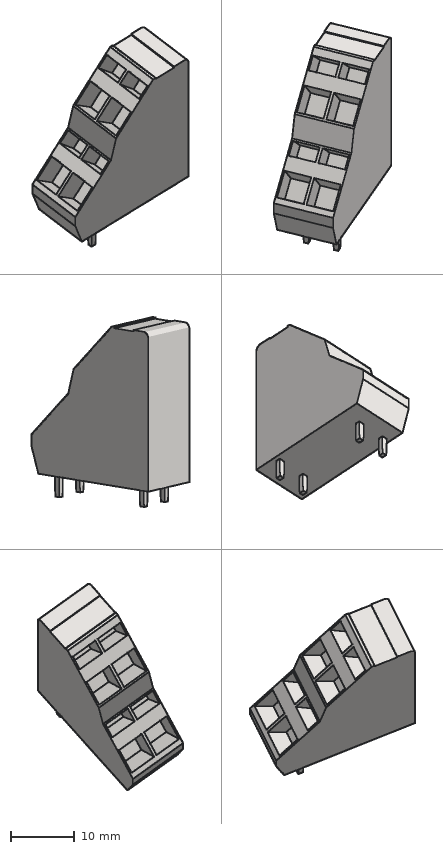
import cadquery as cq
import math

WIDTH = 10.15
DEPTH = 24.05
PIN_LENGTH = 3.45
HEIGHT = 29.1 - PIN_LENGTH
UNDERCUT_DEPTH = 1.4
UNDERCUT_HEIGHT = 4.22
BACK_RADIUS = 1.02

LOWER_SLOPE_Y = 0
LOWER_SLOPE_Z = 6.2
LOWER_SLOPE_RISE = 7.57
UPPER_SLOPE_Y = 8.65
UPPER_SLOPE_Z = 17.78
UPPER_SLOPE_RISE = HEIGHT - UPPER_SLOPE_Z

CHANNEL_FRONT = 17.05
CHANNEL_BACK = 20.95
CHANNEL_DEPTH = 0.2

POCKETS_PER_ROW = 2
POCKET_WIDTH = 4.55
SIDE_WALL = 0.3
POCKET_PITCH = WIDTH - 2 * SIDE_WALL - POCKET_WIDTH
POCKET_DEPTH = 4.07
WIRE_RISE = 3.15
RELEASE_RISE = 1.75
WIRE_TO_RELEASE = 4.9
LOWER_WIRE_START = 0.7
UPPER_WIRE_START = 0.25
WIRE_END_INSET = 0.5

PIN_COUNT = 4
PIN_PITCH = 2.55
PIN_WIDTH = 0.95
PIN_THICKNESS = 0.85
PIN_TIP_WIDTH = 0.73
PIN_TIP_LENGTH = 1.0
FRONT_PIN_Y = 4.63
BACK_PIN_Y = 19.9


def make_block():
    """Terraced side profile extruded across the width, with the rounded top back edge."""
    outline = [
        (UNDERCUT_DEPTH, 0),
        (0, UNDERCUT_HEIGHT),
        (LOWER_SLOPE_Y, LOWER_SLOPE_Z),
        (LOWER_SLOPE_Y + LOWER_SLOPE_RISE, LOWER_SLOPE_Z + LOWER_SLOPE_RISE),
        (UPPER_SLOPE_Y, UPPER_SLOPE_Z),
        (UPPER_SLOPE_Y + UPPER_SLOPE_RISE, HEIGHT),
        (DEPTH, HEIGHT),
        (DEPTH, 0),
    ]
    block = cq.Workplane("YZ").polyline(outline).close().extrude(WIDTH)
    return block.edges("|X and >Y and >Z").fillet(BACK_RADIUS)


def make_channel():
    """Cutter for the channel across the top."""
    return cq.Workplane("XY").box(
        WIDTH, CHANNEL_BACK - CHANNEL_FRONT, CHANNEL_DEPTH, centered=False
    ).translate((0, CHANNEL_FRONT, HEIGHT - CHANNEL_DEPTH))


def make_pocket_row(slope_y, slope_z, start, rise, end_inset):
    """Cutters for a row of pockets, from `start` to `start + rise` above the slope's lower edge.

    The two end walls lean inward by `end_inset` over the depth.
    """
    plane = cq.Plane(origin=(0, slope_y, slope_z), xDir=(1, 0, 0), normal=(0, -1, 1))
    length = rise * math.sqrt(2)
    middle = (start + rise / 2) * math.sqrt(2)
    row = cq.Workplane(plane)
    for i in range(POCKETS_PER_ROW):
        center_x = SIDE_WALL + POCKET_WIDTH / 2 + i * POCKET_PITCH
        pocket = (
            cq.Workplane(plane)
            .center(center_x, middle)
            .rect(POCKET_WIDTH, length)
            .workplane(offset=-POCKET_DEPTH)
            .rect(POCKET_WIDTH, length - 2 * end_inset)
            .loft(ruled=True)
        )
        row = row.add(pocket)
    return row


def make_housing():
    """Terraced block with its channel and both terraces of pockets."""
    housing = make_block().cut(make_channel())
    terraces = [
        (LOWER_SLOPE_Y, LOWER_SLOPE_Z, LOWER_WIRE_START),
        (UPPER_SLOPE_Y, UPPER_SLOPE_Z, UPPER_WIRE_START),
    ]
    for slope_y, slope_z, wire_start in terraces:
        wire_row = make_pocket_row(slope_y, slope_z, wire_start, WIRE_RISE, WIRE_END_INSET)
        release_row = make_pocket_row(slope_y, slope_z, wire_start + WIRE_TO_RELEASE, RELEASE_RISE, 0)
        for cutter in wire_row.vals() + release_row.vals():
            housing = housing.cut(cq.Workplane(cutter))
    return housing


def make_pin(x, y):
    """Flat pin below the underside, with its tip narrowed in X."""
    shoulder_z = PIN_TIP_LENGTH - PIN_LENGTH
    outline = [
        (-PIN_WIDTH / 2, 0),
        (-PIN_WIDTH / 2, shoulder_z),
        (-PIN_TIP_WIDTH / 2, -PIN_LENGTH),
        (PIN_TIP_WIDTH / 2, -PIN_LENGTH),
        (PIN_WIDTH / 2, shoulder_z),
        (PIN_WIDTH / 2, 0),
    ]
    pin = cq.Workplane("XZ").polyline(outline).close().extrude(PIN_THICKNESS / 2, both=True)
    return pin.translate((x, y, 0))


housing = make_housing()

pins = []
for i in range(PIN_COUNT):
    pin_x = WIDTH / 2 + (i - (PIN_COUNT - 1) / 2) * PIN_PITCH
    pin_y = BACK_PIN_Y if i % 2 == 0 else FRONT_PIN_Y
    pins.append(make_pin(pin_x, pin_y).val())

result = cq.Compound.makeCompound([housing.val(), *pins])